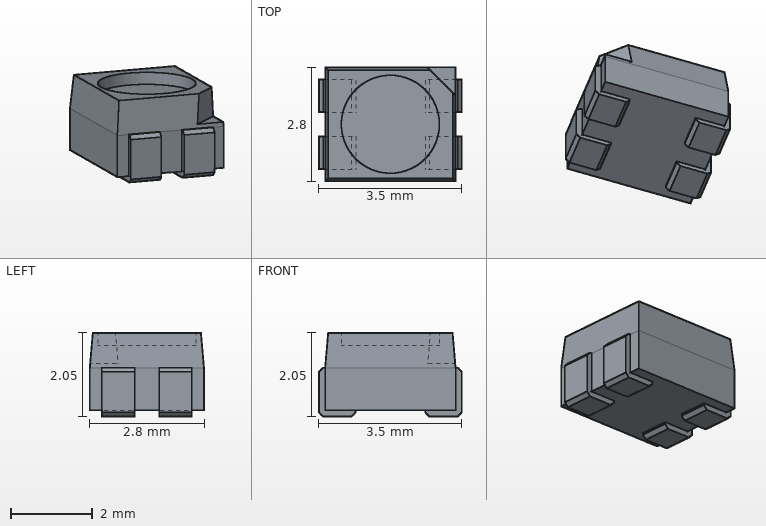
import cadquery as cq
import math

overall_length = 3.5
overall_height = 2.05

lead_thickness = 0.15
lead_width = 0.8
lead_pitch = 1.4
lead_height = 1.2
foot_length = 0.9
lead_chamfer = 0.1

base_length = overall_length - 2 * lead_thickness
base_width = 2.8
base_height = lead_height - lead_thickness
taper_height = overall_height - lead_height
taper_inset = 0.075
taper_angle = math.degrees(math.atan2(taper_inset, taper_height))

recess_diameter = 2.4
recess_depth = 0.3

notch_leg = 0.7
notch_depth = 0.75


def make_notch_cutter():
    """Triangular prism that removes the marked corner down to a flat ledge."""
    corner_x = base_length / 2
    corner_y = base_width / 2
    return (
        cq.Workplane("XY", origin=(0, 0, overall_height - notch_depth))
        .moveTo(corner_x, corner_y)
        .lineTo(corner_x - notch_leg, corner_y)
        .lineTo(corner_x, corner_y - notch_leg)
        .close()
        .extrude(notch_depth)
    )


def make_housing():
    """Base and tapered top in one body, with the recess and the corner notch."""
    base = (
        cq.Workplane("XY", origin=(0, 0, lead_thickness))
        .rect(base_length, base_width)
        .extrude(base_height)
    )
    tapered_top = (
        cq.Workplane("XY", origin=(0, 0, lead_height))
        .rect(base_length, base_width)
        .extrude(taper_height, taper=taper_angle)
    )
    recess = (
        cq.Workplane("XY", origin=(0, 0, overall_height - recess_depth))
        .circle(recess_diameter / 2)
        .extrude(recess_depth)
    )
    return base.union(tapered_top).cut(recess).cut(make_notch_cutter())


def make_lead(side, center_y):
    """L-shaped lead with chamfered outer corners; side is -1 for -X and +1 for +X."""
    outer = overall_length / 2
    inner = base_length / 2
    foot_end = outer - foot_length
    profile = [
        (inner, lead_height),
        (outer - lead_chamfer, lead_height),
        (outer, lead_height - lead_chamfer),
        (outer, lead_chamfer),
        (outer - lead_chamfer, 0),
        (foot_end + lead_chamfer, 0),
        (foot_end, lead_chamfer),
        (foot_end, lead_thickness),
        (inner, lead_thickness),
    ]
    return (
        cq.Workplane("XZ", origin=(0, center_y, 0))
        .polyline([(side * x, z) for x, z in profile])
        .close()
        .extrude(lead_width / 2, both=True)
    )


housing = make_housing()

leads = []
for side in (-1, 1):
    for row in (-1, 1):
        leads.append(make_lead(side, row * lead_pitch / 2))

result = cq.Compound.makeCompound([housing.solids().val(), *[lead.solids().val() for lead in leads]])